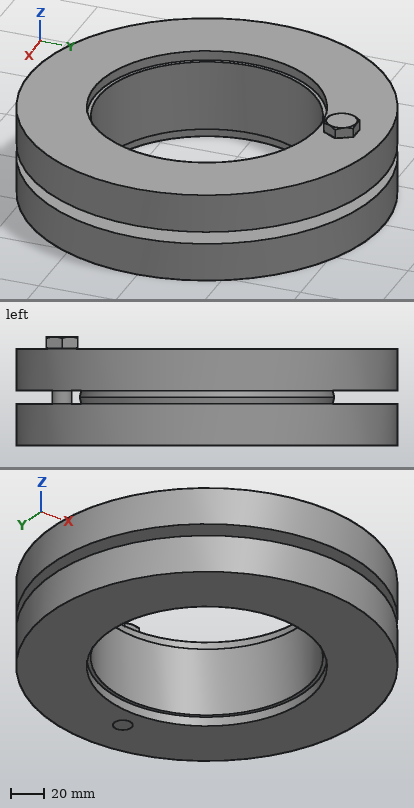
import cadquery as cq
import math

flange_diameter = 230.0
flange_bore = 145.0
flange_thickness = 25.0
flange_gap = 8.0
flange_inner_z = flange_gap / 2
flange_outer_z = flange_inner_z + flange_thickness

ring_bore = 140.0
ring_recess = 6.2
ring_end_z = flange_outer_z - ring_recess
ridge_diameter = 153.6
collar_edge_diameter = 151.8

bolt_y = 87.5
shank_diameter = 12.0
head_across_flats = 19.0
head_across_corners = head_across_flats / math.cos(math.pi / 6)
head_height = 7.4
head_top_diameter = 18.9
washer_face_diameter = 17.2
washer_face_height = 0.58
head_chamfer_angle = 30.0


def make_flange(bottom_z):
    """Flat ring with a central bore and a hole that fits the bolt shank."""
    return (
        cq.Workplane("XY", origin=(0, 0, bottom_z))
        .circle(flange_diameter / 2)
        .circle(flange_bore / 2)
        .extrude(flange_thickness)
        .moveTo(0, bolt_y)
        .circle(shank_diameter / 2)
        .cutThruAll()
    )


def make_sealing_ring():
    """Sleeve whose collar rises in two cones to a ridge halfway across the gap."""
    bore_radius = ring_bore / 2
    sleeve_radius = flange_bore / 2
    collar_edge_radius = collar_edge_diameter / 2
    return (
        cq.Workplane("XZ")
        .moveTo(bore_radius, -ring_end_z)
        .lineTo(sleeve_radius, -ring_end_z)
        .lineTo(sleeve_radius, -flange_inner_z)
        .lineTo(collar_edge_radius, -flange_inner_z)
        .lineTo(ridge_diameter / 2, 0)
        .lineTo(collar_edge_radius, flange_inner_z)
        .lineTo(sleeve_radius, flange_inner_z)
        .lineTo(sleeve_radius, ring_end_z)
        .lineTo(bore_radius, ring_end_z)
        .close()
        .revolve(360, (0, 0, 0), (0, 1, 0))
    )


def make_bolt_head():
    """Hexagon head with its top corners turned off by a cone, on a round washer face."""
    top_radius = head_top_diameter / 2
    corner_radius = head_across_corners / 2
    chamfer_drop = (corner_radius - top_radius) * math.tan(math.radians(head_chamfer_angle))
    chamfer_start = head_height - chamfer_drop
    hexagon = (
        cq.Workplane("XY", origin=(0, 0, washer_face_height))
        .polygon(6, head_across_corners)
        .extrude(head_height - washer_face_height)
    )
    turned_blank = (
        cq.Workplane("XZ")
        .lineTo(corner_radius, 0)
        .lineTo(corner_radius, chamfer_start)
        .lineTo(top_radius, head_height)
        .lineTo(0, head_height)
        .close()
        .revolve(360, (0, 0, 0), (0, 1, 0))
    )
    washer_face = cq.Workplane("XY").circle(washer_face_diameter / 2).extrude(washer_face_height)
    head = hexagon.intersect(turned_blank).union(washer_face)
    return head.translate((0, bolt_y, flange_outer_z))


def make_bolt():
    """Head on the upper flange, shank through both flanges and flush below."""
    shank = (
        cq.Workplane("XY", origin=(0, bolt_y, -flange_outer_z))
        .circle(shank_diameter / 2)
        .extrude(2 * flange_outer_z)
    )
    return shank.union(make_bolt_head())


flanges = [make_flange(bottom_z) for bottom_z in (-flange_outer_z, flange_inner_z)]
sealing_ring = make_sealing_ring()
bolt = make_bolt()

result = cq.Compound.makeCompound(
    [*(flange.val() for flange in flanges), sealing_ring.val(), bolt.val()]
)